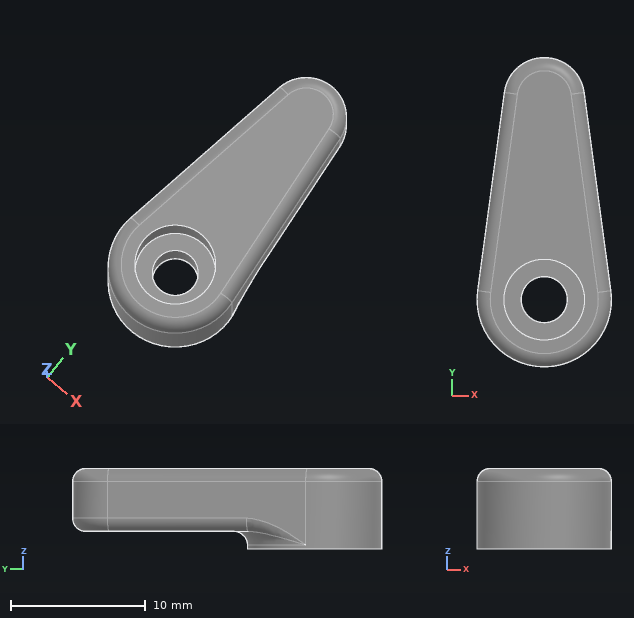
import cadquery as cq
import math

length = 23.0
height = 6.0
hub_diameter = 10.0
tip_diameter = 6.0
edge_radius = 1.0

arm_clearance = 1.3
flare_radius = 1.0

hole_diameter = 3.4
counterbore_diameter = 6.0
counterbore_depth = 3.0

hub_radius = hub_diameter / 2
tip_radius = tip_diameter / 2
tip_y = length - hub_radius - tip_radius
flank_angle = math.asin((hub_radius - tip_radius) / tip_y)


def tangent_point(radius, center_y):
    """Point where the right flank touches a circle centred on the Y axis."""
    return radius * math.cos(flank_angle), center_y + radius * math.sin(flank_angle)


hub_x, hub_tangent_y = tangent_point(hub_radius, 0)
tip_x, tip_tangent_y = tangent_point(tip_radius, tip_y)


def make_lever():
    """Full-height tapered lever, round at both ends."""
    return (
        cq.Workplane("XY")
        .moveTo(hub_x, hub_tangent_y)
        .lineTo(tip_x, tip_tangent_y)
        .threePointArc((0, tip_y + tip_radius), (-tip_x, tip_tangent_y))
        .lineTo(-hub_x, hub_tangent_y)
        .threePointArc((0, -hub_radius), (hub_x, hub_tangent_y))
        .close()
        .extrude(height)
    )


def make_undercut():
    """Space below the arm, whose inner wall flares from the hub into the arm's underside."""
    flare_bottom = arm_clearance - flare_radius
    flare_rise = flare_radius * math.sin(math.pi / 4)
    flare_mid = (hub_radius + flare_radius - flare_rise, flare_bottom + flare_rise)
    ring = (
        cq.Workplane("XZ")
        .moveTo(hub_radius, 0)
        .lineTo(hub_radius, flare_bottom)
        .threePointArc(flare_mid, (hub_radius + flare_radius, arm_clearance))
        .lineTo(length, arm_clearance)
        .lineTo(length, 0)
        .close()
        .revolve(360, (0, 0, 0), (0, 1, 0))
    )
    arm_side = (
        cq.Workplane("XY")
        .box(2 * length, length, height, centered=(True, False, False))
        .translate((0, hub_tangent_y, 0))
    )
    return ring.intersect(arm_side)


body = make_lever().cut(make_undercut())

lower_tip = (0, tip_y + tip_radius, arm_clearance)
body = body.edges(cq.selectors.NearestToPointSelector(lower_tip)).fillet(edge_radius)

body = body.faces(">Z").edges().fillet(edge_radius)

result = (
    body.faces(">Z")
    .workplane(origin=(0, 0, height))
    .cboreHole(hole_diameter, counterbore_diameter, counterbore_depth)
)